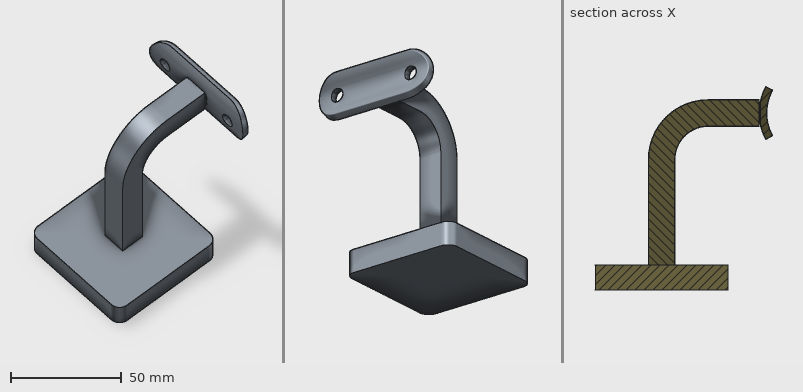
import cadquery as cq


base_side = 60.0
base_height = 11.5
base_corner_radius = 5.0

bar_width = 12.0
bend_inner_radius = 15.0
bend_radius = bend_inner_radius + bar_width / 2
arm_axis_height = 80.0
arm_end_y = 44.0

saddle_length = 63.0
saddle_height = 24.0
saddle_thickness = 3.5
saddle_rim_fillet = 0.5
rail_radius = 21.25
saddle_outer_radius = rail_radius + saddle_thickness
rail_axis_y = arm_end_y + saddle_outer_radius
screw_hole_diameter = 6.5
screw_hole_spacing = 42.0

recess_diameter = 14.2
recess_depth = 0.5


def make_base():
    return (
        cq.Workplane("XY")
        .rect(base_side, base_side)
        .extrude(base_height)
        .edges("|Z")
        .fillet(base_corner_radius)
    )


def make_arm():
    bar_path = (
        cq.Workplane("YZ")
        .moveTo(0, base_height)
        .lineTo(0, arm_axis_height - bend_radius)
        .radiusArc((bend_radius, arm_axis_height), bend_radius)
        .lineTo(arm_end_y, arm_axis_height)
    )
    bar_section = cq.Workplane("XY", origin=(0, 0, base_height)).rect(bar_width, bar_width)
    return bar_section.sweep(bar_path)


def front_plane(y):
    """Plane facing -Y at the given y, centred on the horizontal run of the arm."""
    return cq.Workplane("XZ", origin=(0, y, arm_axis_height))


def make_saddle_plate():
    """Curved plate whose rim stands square to its convex surface."""
    rail_envelope = (
        cq.Workplane("YZ")
        .center(rail_axis_y, arm_axis_height)
        .circle(saddle_outer_radius)
        .extrude(saddle_length, both=True)
    )
    outline = front_plane(rail_axis_y).slot2D(saddle_length, saddle_height).extrude(saddle_outer_radius * 2)
    convex_face = rail_envelope.intersect(outline).faces("<Y").val()

    thickened = cq.occ_impl.shapes.offset(convex_face, -saddle_thickness).Solids()[0]
    plate = cq.Workplane(thickened)
    concave_face = max(plate.faces("%CYLINDER").vals(), key=lambda face: face.Center().y)
    return plate.newObject(concave_face.Edges()).fillet(saddle_rim_fillet)


def make_saddle():
    screw_holes = (
        front_plane(rail_axis_y)
        .rarray(screw_hole_spacing, 1, 2, 1)
        .circle(screw_hole_diameter / 2)
        .extrude(saddle_outer_radius)
    )
    recess = front_plane(arm_end_y + recess_depth).circle(recess_diameter / 2).extrude(recess_depth)
    return make_saddle_plate().cut(screw_holes).cut(recess)


base = make_base()
arm = make_arm()
saddle = make_saddle()

result = cq.Compound.makeCompound([base.solids().val(), arm.solids().val(), saddle.solids().val()])